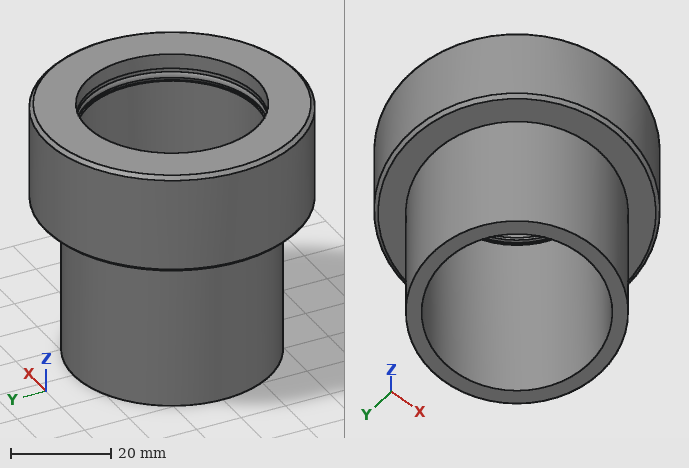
import cadquery as cq

total_height = 57.15
cap_diameter = 57.15
cap_height = 22.3
cap_chamfer = 0.8

tube_outer_diameter = 44.45
tube_bore = 38.1
cap_bore = 38.45

cap_lip_thickness = 3.3
spacer_thickness = 0.8
seal_height = 2.05
seal_round = 1.4
seal_undercut = 0.3

cap_bottom = total_height - cap_height
spacer_top = total_height - cap_lip_thickness
spacer_bottom = spacer_top - spacer_thickness
tube_top = spacer_bottom - seal_height


def sleeve(outer_diameter, inner_diameter, bottom, top):
    """Plain hollow cylinder around the Z axis."""
    return (
        cq.Workplane("XY", origin=(0, 0, bottom))
        .circle(outer_diameter / 2)
        .circle(inner_diameter / 2)
        .extrude(top - bottom)
    )


def make_cap():
    """Chamfered collar with a counterbore that leaves a lip at the top."""
    blank = (
        cq.Workplane("XY", origin=(0, 0, cap_bottom))
        .circle(cap_diameter / 2)
        .extrude(cap_height)
        .edges()
        .chamfer(cap_chamfer)
    )
    counterbore = (
        cq.Workplane("XY", origin=(0, 0, cap_bottom))
        .circle(tube_outer_diameter / 2)
        .extrude(spacer_top - cap_bottom)
    )
    lip_bore = (
        cq.Workplane("XY", origin=(0, 0, spacer_top))
        .circle(cap_bore / 2)
        .extrude(cap_lip_thickness)
    )
    return blank.cut(counterbore).cut(lip_bore)


def make_seal():
    """Ring filling the gap between spacer and tube, rounded above and undercut below at its bore."""
    inner_radius = cap_bore / 2
    outer_radius = tube_outer_diameter / 2
    shoulder_radius = inner_radius + seal_round
    round_bottom = spacer_bottom - seal_round
    return (
        cq.Workplane("XZ")
        .moveTo(outer_radius, tube_top)
        .lineTo(outer_radius, spacer_bottom)
        .lineTo(shoulder_radius, spacer_bottom)
        .radiusArc((inner_radius, round_bottom), -seal_round)
        .lineTo(inner_radius + seal_undercut, tube_top)
        .close()
        .revolve(360, (0, 0), (0, 1))
    )


cap = make_cap()
spacer = sleeve(tube_outer_diameter, cap_bore, spacer_bottom, spacer_top)
seal = make_seal()
tube = sleeve(tube_outer_diameter, tube_bore, 0, tube_top)

result = cq.Compound.makeCompound([cap.val(), spacer.val(), seal.val(), tube.val()])